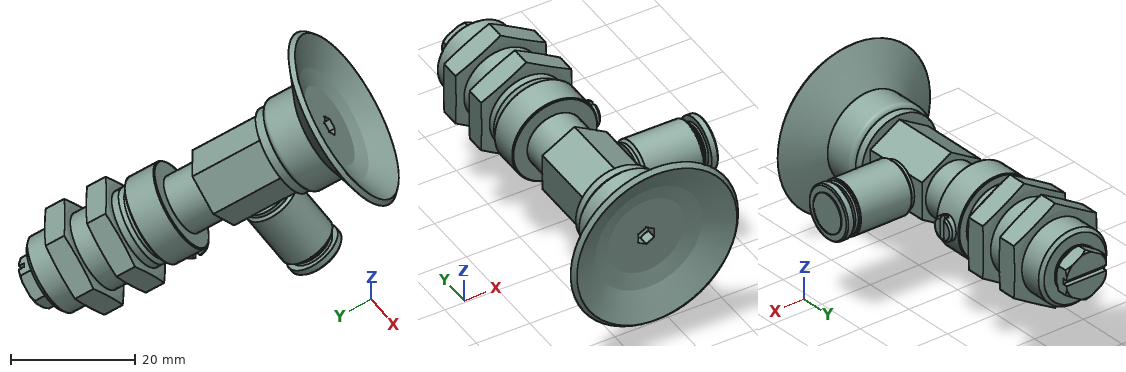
import cadquery as cq
import math


OVERLAP = 0.6

LIP_DIA = 31.5
LIP_EDGE_DIA = 30.0
LIP_LENGTH = 0.8
CUP_DIA = 16.95
CUP_SHOULDER_FILLET = 1.0
CUP_FLARE_END = 4.65
CUP_TOP = 11.0
CUP_MOUTH_DIA = 20.0
CUP_MOUTH_DEPTH = 2.55
CUP_FLOOR_DIA = 14.35
CUP_FLOOR_DEPTH = 3.35
SOCKET_FLATS = 3.0
SOCKET_DEPTH = 1.8
SOCKET_TIP_LENGTH = 1.0

FLANGE_DIA = 15.5
FLANGE_TOP = 12.55
HEX_FLATS = 12.0
HEX_TOP = 26.0
STEM_DIA = 10.5
COLLAR_DIA = 16.0
COLLAR_START = 32.1
COLLAR_TOP = 37.95
COLLAR_CHAMFER = 0.2
NECK_DIA = 12.75
BARREL_DIA = 14.0
BARREL_START = 39.05
BARREL_TOP = 58.0
BARREL_CHAMFER = (BARREL_DIA - NECK_DIA) / 2
HEAD_SEAT_DIA = 8.4
HEAD_SEAT_RIM_DIA = 8.6
HEAD_FLATS = 8.1
HEAD_START = 58.45
HEAD_TOP = 61.0
HEAD_CHAMFER_DIA = 8.4
HEAD_CHAMFER_ANGLE = 38.0
HEAD_SLOT_DEPTH = 1.0

SCREW_DIA = 4.5
SCREW_TOP = 9.1
SCREW_CHAMFER = 0.35
SCREW_SLOT_DEPTH = 1.0

SLOT_WIDTH = 1.0

FITTING_Y = 19.5
FITTING_DIA = 10.0
FITTING_NECK_DIA = 9.0
FITTING_ROOT_DEPTH = 0.05
FITTING_NECK_END = 6.5
FITTING_START = 7.0
FITTING_SHOULDER = 17.4
FITTING_SHOULDER_DIA = 9.4
FITTING_SHOULDER_END = 17.75
FITTING_END = 18.05
FITTING_END_DIA = 8.8
RELEASE_STEM_DIA = 7.4
RELEASE_STEM_END = 18.6
RELEASE_STEM_RIM_DIA = 7.9
RELEASE_START = 18.9
RELEASE_CHAMFER_START = 20.0
RELEASE_END = 20.25
RELEASE_END_DIA = 9.5
RELEASE_LIP_DIA = 7.2
RELEASE_LIP_END = 20.45

NUT_FLATS = 16.95
NUT_THICKNESS = 4.0
NUT_POSITIONS = (41.0, 49.05)
NUT_CHAMFER_DIA = 16.5
NUT_CHAMFER_ANGLE = 8.0


def turned(profile):
    """Solid of revolution about Y from (radius, y) points, closed along the axis."""
    points = [(0, profile[0][1]), *profile, (0, profile[-1][1])]
    return cq.Workplane("XY").polyline(points).close().revolve(360, (0, 0), (0, 1))


def turned_sideways(profile):
    """Solid of revolution about X at Y = 0 from (x, radius) points, closed along the axis."""
    points = [(profile[0][0], 0), *profile, (profile[-1][0], 0)]
    return cq.Workplane("XY").polyline(points).close().revolve(360, (0, 0), (1, 0))


def corner_diameter(flats):
    """Diameter across the corners of a hexagon given across its flats."""
    return flats / math.cos(math.radians(30))


def hexagon(flats, start, end):
    """Hexagonal bar along Y with two flats facing -X and +X."""
    bar = cq.Workplane("XY").polygon(6, corner_diameter(flats)).extrude(end - start)
    flats_sideways = bar.rotate((0, 0, 0), (0, 0, 1), 30)
    along_y = flats_sideways.rotate((0, 0, 0), (1, 0, 0), -90)
    return along_y.translate((0, start, 0))


def corner_chamfered_hexagon(flats, start, end, face_dia, angle):
    """Hexagonal bar whose corners are turned off conically at both ends."""
    corner_radius = corner_diameter(flats) / 2
    face_radius = face_dia / 2
    drop = (corner_radius - face_radius) * math.tan(math.radians(angle))
    envelope = turned([
        (face_radius, start),
        (corner_radius, start + drop),
        (corner_radius, end - drop),
        (face_radius, end),
    ])
    return hexagon(flats, start, end).intersect(envelope)


def build_socket():
    """Hexagonal socket in the floor of the cup, with a conical end."""
    side_end = CUP_FLOOR_DEPTH + SOCKET_DEPTH
    tip = side_end + SOCKET_TIP_LENGTH
    corner_radius = corner_diameter(SOCKET_FLATS) / 2
    outline = [
        (0, CUP_FLOOR_DEPTH),
        (corner_radius, CUP_FLOOR_DEPTH),
        (corner_radius, side_end),
        (0, tip),
    ]
    pointed_bar = cq.Workplane("XY").polyline(outline).close().revolve(360, (0, 0), (0, 1))
    return hexagon(SOCKET_FLATS, CUP_FLOOR_DEPTH, tip).intersect(pointed_bar)


def build_cup():
    outside = turned([
        (LIP_EDGE_DIA / 2, 0),
        (LIP_DIA / 2, LIP_LENGTH),
        (CUP_DIA / 2, CUP_FLARE_END),
        (CUP_DIA / 2, CUP_TOP),
    ])
    outside = outside.faces(">Y").edges().fillet(CUP_SHOULDER_FILLET)
    hollow = turned([
        (LIP_EDGE_DIA / 2, 0),
        (CUP_MOUTH_DIA / 2, CUP_MOUTH_DEPTH),
        (CUP_FLOOR_DIA / 2, CUP_FLOOR_DEPTH),
    ])
    return outside.cut(hollow).cut(build_socket())


def build_head():
    """Slotted hexagon head at the end of the barrel."""
    seat = turned([
        (HEAD_SEAT_DIA / 2, BARREL_TOP - OVERLAP),
        (HEAD_SEAT_DIA / 2, BARREL_TOP),
        (HEAD_SEAT_RIM_DIA / 2, HEAD_START),
    ])
    head = corner_chamfered_hexagon(HEAD_FLATS, HEAD_START, HEAD_TOP, HEAD_CHAMFER_DIA, HEAD_CHAMFER_ANGLE)
    slot = cq.Workplane("XY").box(2 * HEAD_FLATS, 2 * HEAD_SLOT_DEPTH, SLOT_WIDTH)
    return head.union(seat).cut(slot.translate((0, HEAD_TOP, 0)))


def build_clamp_screw():
    """Slotted cylinder head standing out of the collar."""
    screw = turned_sideways([
        (COLLAR_DIA / 2 - 2 * OVERLAP, SCREW_DIA / 2),
        (SCREW_TOP - SCREW_CHAMFER, SCREW_DIA / 2),
        (SCREW_TOP, SCREW_DIA / 2 - SCREW_CHAMFER),
    ])
    slot = cq.Workplane("XY").box(2 * SCREW_SLOT_DEPTH, SLOT_WIDTH, 2 * SCREW_DIA)
    screw = screw.cut(slot.translate((SCREW_TOP, 0, 0)))
    return screw.translate((0, (COLLAR_START + COLLAR_TOP) / 2, 0))


def build_fitting():
    """Push-in hose fitting with its release ring."""
    fitting = turned_sideways([
        (HEX_FLATS / 2 - FITTING_ROOT_DEPTH, FITTING_NECK_DIA / 2),
        (FITTING_NECK_END, FITTING_NECK_DIA / 2),
        (FITTING_START, FITTING_DIA / 2),
        (FITTING_SHOULDER, FITTING_DIA / 2),
        (FITTING_SHOULDER, FITTING_SHOULDER_DIA / 2),
        (FITTING_SHOULDER_END, FITTING_SHOULDER_DIA / 2),
        (FITTING_END, FITTING_END_DIA / 2),
        (FITTING_END, RELEASE_STEM_DIA / 2),
        (RELEASE_STEM_END, RELEASE_STEM_DIA / 2),
        (RELEASE_START, RELEASE_STEM_RIM_DIA / 2),
        (RELEASE_START, FITTING_DIA / 2),
        (RELEASE_CHAMFER_START, FITTING_DIA / 2),
        (RELEASE_END, RELEASE_END_DIA / 2),
        (RELEASE_END, RELEASE_LIP_DIA / 2),
        (RELEASE_LIP_END, RELEASE_LIP_DIA / 2),
    ])
    return fitting.translate((0, FITTING_Y, 0))


def build_holder():
    shaft = turned([
        (FLANGE_DIA / 2, CUP_TOP),
        (FLANGE_DIA / 2, FLANGE_TOP),
        (STEM_DIA / 2, FLANGE_TOP),
        (STEM_DIA / 2, COLLAR_START),
        (COLLAR_DIA / 2 - COLLAR_CHAMFER, COLLAR_START),
        (COLLAR_DIA / 2, COLLAR_START + COLLAR_CHAMFER),
        (COLLAR_DIA / 2, COLLAR_TOP - COLLAR_CHAMFER),
        (COLLAR_DIA / 2 - COLLAR_CHAMFER, COLLAR_TOP),
        (NECK_DIA / 2, COLLAR_TOP),
        (NECK_DIA / 2, BARREL_START),
        (BARREL_DIA / 2, BARREL_START + BARREL_CHAMFER),
        (BARREL_DIA / 2, BARREL_TOP - BARREL_CHAMFER),
        (NECK_DIA / 2, BARREL_TOP),
    ])
    grip = hexagon(HEX_FLATS, FLANGE_TOP, HEX_TOP)
    return shaft.union(grip).union(build_head()).union(build_clamp_screw()).union(build_fitting())


def build_nut(start):
    end = start + NUT_THICKNESS
    bore = turned([
        (BARREL_DIA / 2, start),
        (BARREL_DIA / 2, end),
    ])
    nut = corner_chamfered_hexagon(NUT_FLATS, start, end, NUT_CHAMFER_DIA, NUT_CHAMFER_ANGLE)
    return nut.cut(bore)


cup = build_cup()
holder = build_holder()
nuts = [build_nut(position) for position in NUT_POSITIONS]

result = cq.Compound.makeCompound([cup.val(), holder.val(), *[nut.val() for nut in nuts]])